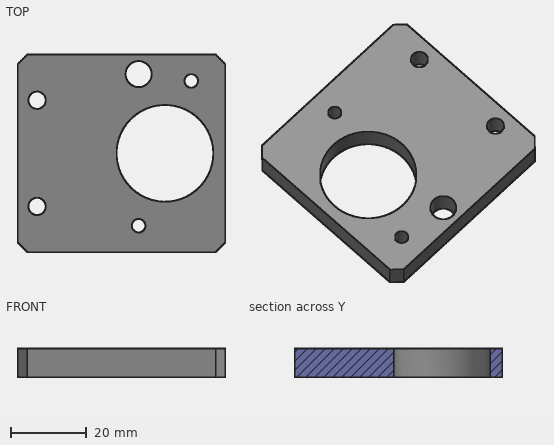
import cadquery as cq

length = 54.61
width = 52.07
thickness = 7.62
corner_chamfer = 2.54

bore_diameter = 25.4
bore_x = 11.43

fixing_diameter = 4.5
fixing_x = -22.225
fixing_spacing = 27.94

small_diameter = 3.5
small_offset_x = 6.92
small_offset_y = 19.05

clearance_diameter = 6.8
clearance_x = bore_x - small_offset_x
clearance_y = 20.85

fixing_centres = [
    (fixing_x, fixing_spacing / 2),
    (fixing_x, -fixing_spacing / 2),
]
small_centres = [
    (bore_x + small_offset_x, small_offset_y),
    (bore_x - small_offset_x, -small_offset_y),
]


def make_plate():
    """Rectangular plate with its four vertical corners chamfered."""
    plate = cq.Workplane("XY").box(length, width, thickness)
    return plate.edges("|Z").chamfer(corner_chamfer)


def drill_through(body, diameter, centres):
    """Drill plain holes through the full thickness at each centre."""
    top_plane = cq.Workplane("XY").workplane(offset=thickness / 2)
    cutters = top_plane.pushPoints(centres).circle(diameter / 2).extrude(-thickness)
    return body.cut(cutters)


result = make_plate()
result = drill_through(result, bore_diameter, [(bore_x, 0)])
result = drill_through(result, fixing_diameter, fixing_centres)
result = drill_through(result, small_diameter, small_centres)
result = drill_through(result, clearance_diameter, [(clearance_x, clearance_y)])